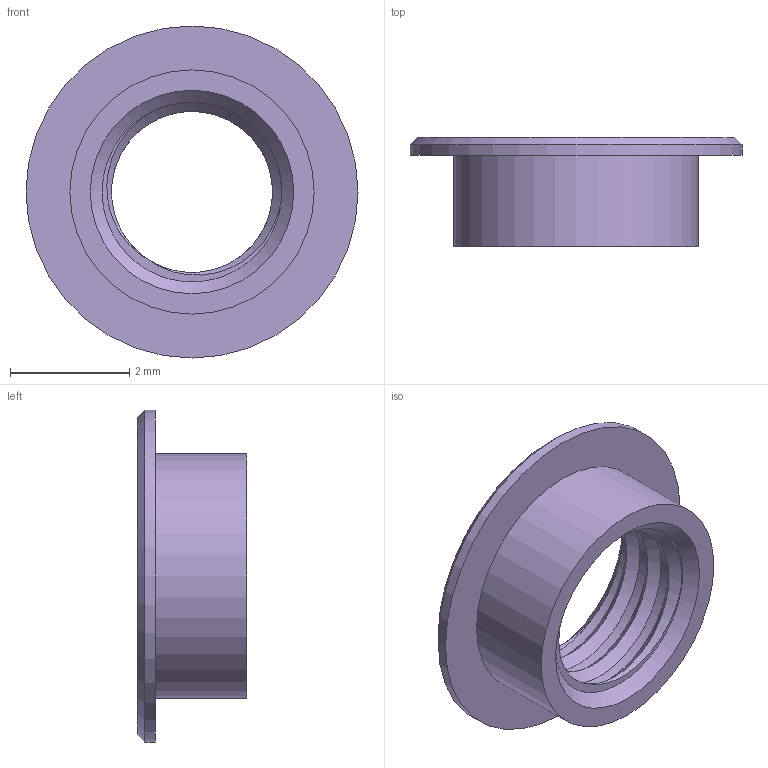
import cadquery as cq

FLANGE_DIAMETER = 5.56
FLANGE_THICKNESS = 0.30
FLANGE_CHAMFER = 0.125
SLEEVE_DIAMETER = 4.09
TOTAL_LENGTH = 1.83

THREAD_MAJOR_DIAMETER = 3.0
THREAD_MINOR_DIAMETER = 2.7
THREAD_PITCH = 0.5
FLANK_LENGTH = 0.16
THREAD_START_ANGLE = 122.0
RIDGE_EMBEDMENT = 0.03
LEAD_IN_DEPTH = 0.20
SHOULDER_DIAMETER = 3.01
LEAD_IN_DIAMETER = SHOULDER_DIAMETER + 2 * LEAD_IN_DEPTH

flange_radius = FLANGE_DIAMETER / 2
sleeve_radius = SLEEVE_DIAMETER / 2
major_radius = THREAD_MAJOR_DIAMETER / 2
minor_radius = THREAD_MINOR_DIAMETER / 2
shoulder_radius = SHOULDER_DIAMETER / 2
lead_in_radius = LEAD_IN_DIAMETER / 2
flange_start = TOTAL_LENGTH - FLANGE_THICKNESS
thread_length = TOTAL_LENGTH - 2 * LEAD_IN_DEPTH


def plain_bush():
    """Sleeve and flange with a straight bore, as one revolved half section (radius along X)."""
    return (
        cq.Workplane("XY")
        .moveTo(major_radius, 0)
        .lineTo(sleeve_radius, 0)
        .lineTo(sleeve_radius, flange_start)
        .lineTo(flange_radius, flange_start)
        .lineTo(flange_radius, TOTAL_LENGTH - FLANGE_CHAMFER)
        .lineTo(flange_radius - FLANGE_CHAMFER, TOTAL_LENGTH)
        .lineTo(major_radius, TOTAL_LENGTH)
        .close()
        .revolve(360, (0, 0, 0), (0, 1, 0))
    )


def lead_in(face_y, inward):
    """Conical cutter that opens the bore at an end face; inward is the Y direction into the part."""
    shoulder_y = face_y + inward * LEAD_IN_DEPTH
    return (
        cq.Workplane("XY")
        .moveTo(0, face_y)
        .lineTo(lead_in_radius, face_y)
        .lineTo(shoulder_radius, shoulder_y)
        .lineTo(0, shoulder_y)
        .close()
        .revolve(360, (0, 0, 0), (0, 1, 0))
    )


def thread_ridge():
    """Left-hand helical ridge, cut off flat where each lead-in begins."""
    ridge_base_radius = major_radius + RIDGE_EMBEDMENT
    flank_slope = FLANK_LENGTH / (major_radius - minor_radius)
    half_base = flank_slope * (ridge_base_radius - minor_radius)

    helix_length = thread_length + 2 * THREAD_PITCH
    helix = cq.Wire.makeHelix(THREAD_PITCH, helix_length, minor_radius, lefthand=True)
    full_ridge = (
        cq.Workplane("XZ")
        .moveTo(minor_radius, 0)
        .lineTo(ridge_base_radius, -half_base)
        .lineTo(ridge_base_radius, half_base)
        .close()
        .sweep(cq.Workplane(obj=helix), isFrenet=True)
    )
    threaded_zone = (
        cq.Workplane("XY").workplane(offset=THREAD_PITCH).circle(sleeve_radius).extrude(thread_length)
    )
    return (
        full_ridge.intersect(threaded_zone)
        .rotate((0, 0, 0), (0, 0, 1), THREAD_START_ANGLE)
        .rotate((0, 0, 0), (1, 0, 0), -90)
        .translate((0, LEAD_IN_DEPTH - THREAD_PITCH, 0))
    )


threaded_bush = plain_bush().union(thread_ridge())
result = threaded_bush.cut(lead_in(0, 1)).cut(lead_in(TOTAL_LENGTH, -1))